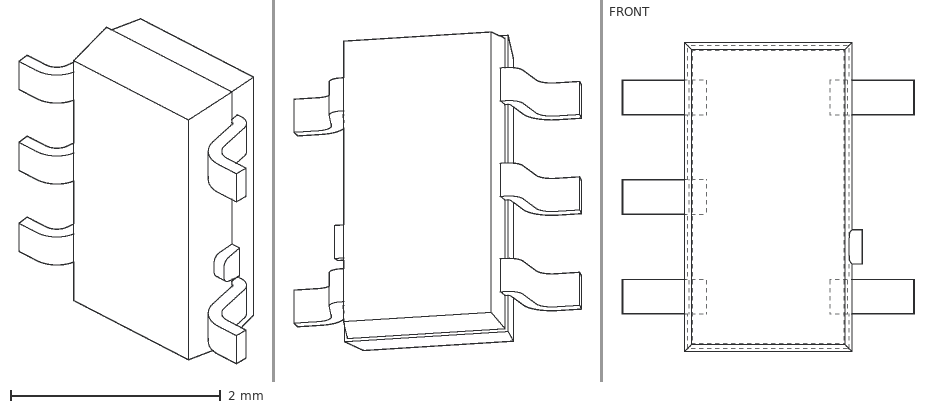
import cadquery as cq
import math

DRAFT = 7.0

LOWER_WIDTH = 1.6
LOWER_LENGTH = 2.95
LOWER_DEPTH = 0.55
UPPER_DEPTH = 0.4
SHELL_STEP = 0.03

LEAD_SPAN = 2.79
LEAD_WIDTH = 0.33
LEAD_THICKNESS = 0.13
LEAD_PITCH = 0.95
LEAD_ROOT_X = 0.59
LEAD_DROP = 0.6
SHOULDER_X = 0.808
SHOULDER_RADIUS = 0.01
LEG_LEAN = 9.0
TOE_UNDERCUT = 0.01
ANKLE_RADIUS = 0.16

NUB_WIDTH = LEAD_WIDTH
NUB_DEPTH = 0.225
NUB_END_X = 0.897
NUB_ROUND = 0.083
NUB_DRAFT = 9.0


def drafted_block(width, length, depth):
    """Block on the parting plane that narrows towards +Y, or towards -Y if the depth is negative."""
    outline = cq.Workplane("XZ").rect(width, length)
    return outline.extrude(-depth, taper=DRAFT)


def make_lead():
    """Gull-wing lead on the +X side, centred on Z = 0."""
    leg = math.radians(LEG_LEAN)
    sin_leg = math.sin(leg)
    cos_leg = math.cos(leg)
    diagonal = math.radians((90 + LEG_LEAN) / 2)
    shoulder_outer = SHOULDER_RADIUS + LEAD_THICKNESS
    ankle_outer = ANKLE_RADIUS + LEAD_THICKNESS
    shoulder_y = -SHOULDER_RADIUS
    ankle_y = LEAD_THICKNESS - LEAD_DROP + ANKLE_RADIUS

    bend_gap = shoulder_outer + ANKLE_RADIUS
    leg_length = (shoulder_y - ankle_y + bend_gap * sin_leg) / cos_leg
    ankle_x = SHOULDER_X + bend_gap * cos_leg + leg_length * sin_leg

    def shoulder_point(radius, angle):
        return (SHOULDER_X + radius * math.cos(angle), shoulder_y + radius * math.sin(angle))

    def ankle_point(radius, angle):
        return (ankle_x - radius * math.cos(angle), ankle_y - radius * math.sin(angle))

    toe_x = LEAD_SPAN / 2
    profile = (
        cq.Workplane("XY")
        .moveTo(LEAD_ROOT_X, 0)
        .lineTo(LEAD_ROOT_X, LEAD_THICKNESS)
        .lineTo(SHOULDER_X, LEAD_THICKNESS)
        .threePointArc(shoulder_point(shoulder_outer, diagonal), shoulder_point(shoulder_outer, leg))
        .lineTo(*ankle_point(ANKLE_RADIUS, leg))
        .threePointArc(ankle_point(ANKLE_RADIUS, diagonal), (ankle_x, LEAD_THICKNESS - LEAD_DROP))
        .lineTo(toe_x, LEAD_THICKNESS - LEAD_DROP)
        .lineTo(toe_x - TOE_UNDERCUT, -LEAD_DROP)
        .lineTo(ankle_x, -LEAD_DROP)
        .threePointArc(ankle_point(ankle_outer, diagonal), ankle_point(ankle_outer, leg))
        .lineTo(*shoulder_point(SHOULDER_RADIUS, leg))
        .threePointArc(shoulder_point(SHOULDER_RADIUS, diagonal), (SHOULDER_X, 0))
        .close()
    )
    return profile.extrude(LEAD_WIDTH / 2, both=True)


def make_leads():
    """Three leads on the -X side and two on the +X side."""
    right_lead = make_lead()
    left_lead = right_lead.mirror("YZ")
    leads = []
    for row in (-1, 0, 1):
        leads.append(left_lead.translate((0, 0, row * LEAD_PITCH)))
    for row in (-1, 1):
        leads.append(right_lead.translate((0, 0, row * LEAD_PITCH)))
    return leads


def make_gate_nub():
    """Bar with sloping flanks and two rounded edges, running out through the lower shell wall."""
    half_width = NUB_WIDTH / 2
    sole_half = half_width - NUB_DEPTH * math.tan(math.radians(NUB_DRAFT))
    section = (
        cq.Workplane("YZ")
        .moveTo(0, -half_width)
        .lineTo(0, half_width)
        .lineTo(-NUB_DEPTH, sole_half)
        .lineTo(-NUB_DEPTH, -sole_half)
        .close()
    )
    nub = section.extrude(NUB_END_X).faces("<Y").edges("|X").fillet(NUB_ROUND)
    return nub.translate((0, 0, -LEAD_PITCH / 2))


def make_lower_shell():
    shell = drafted_block(LOWER_WIDTH, LOWER_LENGTH, -LOWER_DEPTH)
    return shell.union(make_gate_nub())


def make_upper_shell(leads):
    """Upper shell with a recess on the parting plane for the root of each lead."""
    shell = drafted_block(LOWER_WIDTH - 2 * SHELL_STEP, LOWER_LENGTH - 2 * SHELL_STEP, UPPER_DEPTH)
    for lead in leads:
        shell = shell.cut(lead)
    return shell


leads = make_leads()
lower_shell = make_lower_shell()
upper_shell = make_upper_shell(leads)

result = cq.Compound.makeCompound(
    [lower_shell.val(), upper_shell.val(), *[lead.val() for lead in leads]]
)